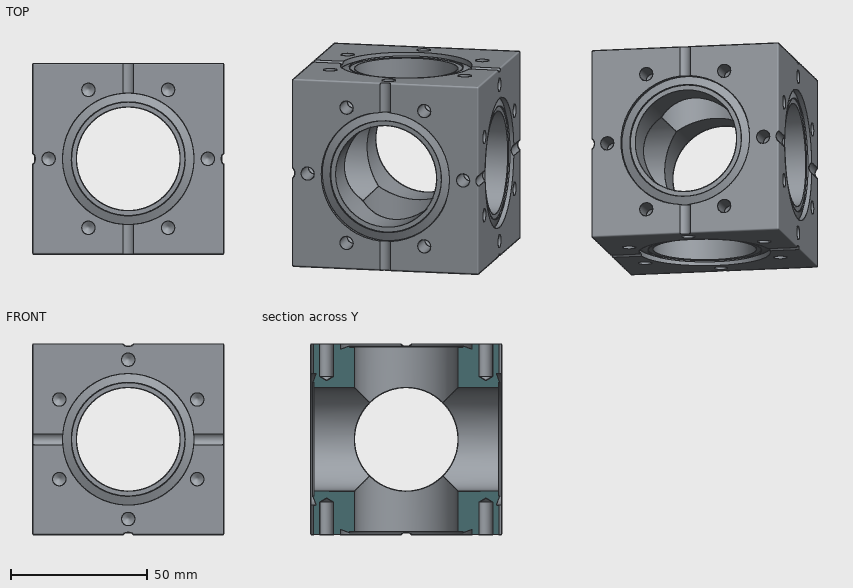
import cadquery as cq
import math

cube_side = 70.2
half_side = cube_side / 2
edge_radius = 0.6

bore_diameter = 38.0
recess_diameter = 48.3
recess_wall_depth = 1.9
knife_diameter = 41.9
knife_angle = 20.0
knife_root_diameter = 41.6
inner_ledge_depth = 1.2

bolt_hole_diameter = 4.92
bolt_circle_diameter = 58.5
bolt_count = 6
bolt_hole_depth = 12.0
drill_point_angle = 118.0

groove_width = 4.0
groove_depth = 1.0
groove_radius = (groove_width**2 / 4 + groove_depth**2) / (2 * groove_depth)

FACES = [
    ((1, 0, 0), (0, 0, 1)),
    ((-1, 0, 0), (0, 0, 1)),
    ((0, 1, 0), (1, 0, 0)),
    ((0, -1, 0), (1, 0, 0)),
    ((0, 0, 1), (0, 1, 0)),
    ((0, 0, -1), (0, 1, 0)),
]


def make_port():
    """Bore to the cube centre, with a knife edge standing in the gasket recess; local Z is outward."""
    bore_radius = bore_diameter / 2
    recess_radius = recess_diameter / 2
    knife_radius = knife_diameter / 2
    root_radius = knife_root_diameter / 2
    knife_rise = (recess_radius - knife_radius) * math.tan(math.radians(knife_angle))
    knife_depth = recess_wall_depth - knife_rise
    profile = (
        cq.Workplane("XZ")
        .moveTo(0, -half_side)
        .lineTo(bore_radius, -half_side)
        .lineTo(bore_radius, -inner_ledge_depth)
        .lineTo(root_radius, -inner_ledge_depth)
        .lineTo(knife_radius, -knife_depth)
        .lineTo(recess_radius, -recess_wall_depth)
        .lineTo(recess_radius, 0)
        .lineTo(0, 0)
        .close()
    )
    return profile.revolve(360, (0, 0, 0), (0, 1, 0))


def make_bolt_holes():
    """Ring of drilled holes with conical bottoms, none of them on the groove line (local X)."""
    hole_radius = bolt_hole_diameter / 2
    point_length = hole_radius / math.tan(math.radians(drill_point_angle / 2))
    hole = (
        cq.Workplane("XZ")
        .lineTo(hole_radius, 0)
        .lineTo(hole_radius, -bolt_hole_depth)
        .lineTo(0, -bolt_hole_depth - point_length)
        .close()
        .revolve(360, (0, 0, 0), (0, 1, 0))
        .translate((0, bolt_circle_diameter / 2, 0))
    )
    holes = cq.Workplane("XY")
    for index in range(bolt_count):
        holes = holes.add(hole.rotate((0, 0, 0), (0, 0, 1), index * 360 / bolt_count))
    return holes.combine()


def make_groove():
    """Shallow round groove along local X, on both sides of the gasket recess."""
    groove = (
        cq.Workplane("YZ")
        .center(0, groove_radius - groove_depth)
        .circle(groove_radius)
        .extrude(half_side, both=True)
    )
    recess_zone = cq.Workplane("XY").circle(recess_diameter / 2).extrude(groove_radius, both=True)
    return groove.cut(recess_zone)


def cut_face(body, tool, outward, groove_direction):
    """Cut a tool, drawn with Z outward and X along the groove, into one face of the cube."""
    origin = tuple(half_side * component for component in outward)
    plane = cq.Plane(origin=origin, xDir=groove_direction, normal=outward)
    return body.cut(cq.Workplane(tool.val().moved(cq.Location(plane))))


result = cq.Workplane("XY").box(cube_side, cube_side, cube_side).edges().fillet(edge_radius)
face_tools = [make_port(), make_bolt_holes(), make_groove()]
for outward, groove_direction in FACES:
    for tool in face_tools:
        result = cut_face(result, tool, outward, groove_direction)